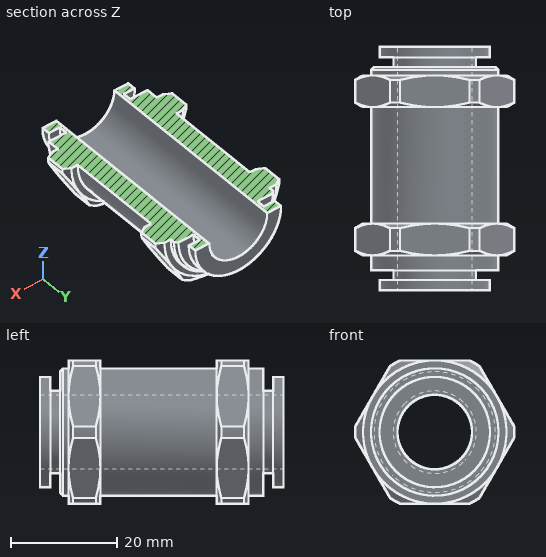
import cadquery as cq
import math

total_length = 45.9
flange_thickness = 2.0
neck_length = 1.8

bore_diameter = 14.0
flange_diameter = 20.8
neck_diameter = 15.6
body_diameter = 24.0

body_chamfer = 0.6

nut_sides = 6
nut_across_flats = 27.0
nut_corner_diameter = 30.0
nut_thickness = 6.0
nut_chamfer_angle = 30.0
front_nut_setback = 2.8
rear_nut_setback = 1.6

half_length = total_length / 2
body_end = half_length - flange_thickness - neck_length


def sketch_facing_y(y_position):
    """Workplane square to the Y axis, extruding toward +Y."""
    return cq.Workplane(cq.Plane(origin=(0, y_position, 0), xDir=(1, 0, 0), normal=(0, 1, 0)))


def cylinder_along_y(diameter, y_start, y_end):
    """Solid cylinder on the Y axis between two Y positions."""
    return sketch_facing_y(y_start).circle(diameter / 2).extrude(y_end - y_start)


def make_body():
    """Main barrel with the chamfered +Y end."""
    barrel = cylinder_along_y(body_diameter, -body_end, body_end)
    return barrel.faces(">Y").edges().chamfer(body_chamfer)


def make_release_sleeve():
    """Neck running the whole length, with a flange at each end."""
    neck = cylinder_along_y(neck_diameter, -half_length, half_length)
    front_flange = cylinder_along_y(flange_diameter, -half_length, -half_length + flange_thickness)
    rear_flange = cylinder_along_y(flange_diameter, half_length - flange_thickness, half_length)
    return neck.union(front_flange).union(rear_flange)


def make_nut(y_start):
    """Hexagon nut with corners turned down and both faces chamfered."""
    y_end = y_start + nut_thickness
    across_corners = nut_across_flats / math.cos(math.pi / nut_sides)
    hexagon = sketch_facing_y(y_start).polygon(nut_sides, across_corners).extrude(nut_thickness)

    face_radius = nut_across_flats / 2
    corner_radius = nut_corner_diameter / 2
    chamfer_length = (corner_radius - face_radius) * math.tan(math.radians(nut_chamfer_angle))
    turned_blank = (
        cq.Workplane("XY")
        .moveTo(0, y_start)
        .lineTo(face_radius, y_start)
        .lineTo(corner_radius, y_start + chamfer_length)
        .lineTo(corner_radius, y_end - chamfer_length)
        .lineTo(face_radius, y_end)
        .lineTo(0, y_end)
        .close()
        .revolve(360, (0, 0, 0), (0, 1, 0))
    )
    return hexagon.intersect(turned_blank)


front_nut = make_nut(-body_end + front_nut_setback)
rear_nut = make_nut(body_end - rear_nut_setback - nut_thickness)
bore = cylinder_along_y(bore_diameter, -half_length, half_length)

result = make_body().union(make_release_sleeve()).union(front_nut).union(rear_nut).cut(bore)